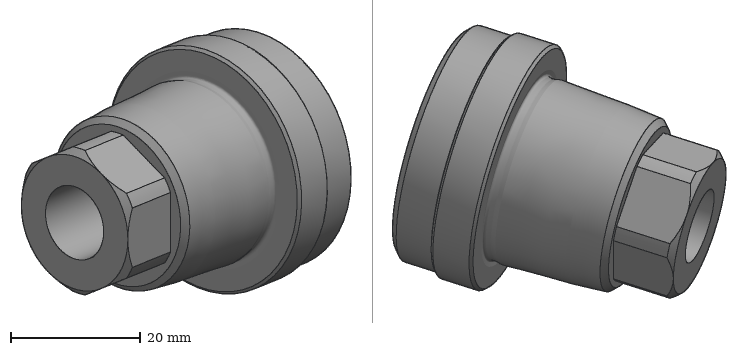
import cadquery as cq
import math

total_length = 44.0

hex_length = 10.0
hex_across_flats = 22.0
hex_corner_diameter = 24.1
hex_chamfer = (hex_corner_diameter - hex_across_flats) / 2

barrel_front_diameter = 28.2
barrel_middle_diameter = 29.1
barrel_rear_diameter = 30.1
barrel_front_chamfer = 1.0
barrel_middle_y = 16.5

flange_diameter = 40.0
flange_front_y = 30.0
flange_rear_y = 37.0
flange_chamfer = 0.5
spigot_diameter = 38.5
spigot_chamfer = 1.05

undercut_length = 2.0
undercut_diameter = 29.65
undercut_face_diameter = 32.0
undercut_face_angle = 8.0
undercut_run_in_angle = 15.0
undercut_radius = 0.4

bore_diameter = 12.0
bore_flat_height = 5.45
bore_flat_start_y = flange_front_y


def edges_around_axis(y):
    """Select the edges whose centre lies on the Y axis at the given place."""
    margin = 0.05
    return cq.selectors.BoxSelector((-margin, y - margin, -margin), (margin, y + margin, margin))


def turned_body():
    """Revolve the outer profile of barrel, flange and spigot, then round the undercut."""
    barrel_rear_y = flange_front_y - undercut_length
    run_in_depth = (barrel_rear_diameter - undercut_diameter) / 2
    neck_front_y = barrel_rear_y + run_in_depth / math.tan(math.radians(undercut_run_in_angle))
    face_width = (undercut_face_diameter - undercut_diameter) / 2
    neck_rear_y = flange_front_y + face_width * math.tan(math.radians(undercut_face_angle))

    barrel_front_radius = barrel_front_diameter / 2
    flange_radius = flange_diameter / 2
    spigot_radius = spigot_diameter / 2

    body = (
        cq.Workplane("ZY")
        .moveTo(0, hex_length)
        .lineTo(barrel_front_radius - barrel_front_chamfer, hex_length)
        .lineTo(barrel_front_radius, hex_length + barrel_front_chamfer)
        .lineTo(barrel_middle_diameter / 2, barrel_middle_y)
        .lineTo(barrel_rear_diameter / 2, barrel_rear_y)
        .lineTo(undercut_diameter / 2, neck_front_y)
        .lineTo(undercut_diameter / 2, neck_rear_y)
        .lineTo(undercut_face_diameter / 2, flange_front_y)
        .lineTo(flange_radius - flange_chamfer, flange_front_y)
        .lineTo(flange_radius, flange_front_y + flange_chamfer)
        .lineTo(flange_radius, flange_rear_y - flange_chamfer)
        .lineTo(flange_radius - flange_chamfer, flange_rear_y)
        .lineTo(spigot_radius, flange_rear_y)
        .lineTo(spigot_radius, total_length - spigot_chamfer)
        .lineTo(spigot_radius - spigot_chamfer, total_length)
        .lineTo(0, total_length)
        .close()
        .revolve(360, (0, 0, 0), (0, 1, 0))
    )
    neck_front_edge = edges_around_axis(neck_front_y)
    neck_rear_edge = edges_around_axis(neck_rear_y)
    return body.edges(neck_front_edge + neck_rear_edge).fillet(undercut_radius)


def hex_drive():
    """Hexagon with two flats facing +-X, corners turned down and chamfered at the front."""
    hexagon = (
        cq.Workplane("XZ")
        .polygon(6, hex_across_flats, circumscribed=True)
        .extrude(-hex_length)
    )
    turned_blank = (
        cq.Workplane("XZ")
        .circle(hex_corner_diameter / 2)
        .extrude(-hex_length)
        .faces("<Y")
        .chamfer(hex_chamfer)
    )
    return hexagon.intersect(turned_blank)


def bore():
    """Through bore whose round front stretch ends in a 45 degree cone against the flat."""
    bore_radius = bore_diameter / 2
    round_stretch = (
        cq.Workplane("ZY")
        .lineTo(bore_radius, 0)
        .lineTo(bore_radius, bore_flat_start_y)
        .lineTo(0, bore_flat_start_y + bore_radius)
        .close()
        .revolve(360, (0, 0, 0), (0, 1, 0))
    )
    full_bore = cq.Workplane("XZ").circle(bore_radius).extrude(-total_length)
    above_flat = (
        cq.Workplane("XY")
        .workplane(offset=bore_flat_height)
        .rect(bore_diameter, 2 * total_length)
        .extrude(bore_radius)
    )
    return full_bore.cut(above_flat).union(round_stretch)


result = turned_body().union(hex_drive()).cut(bore())